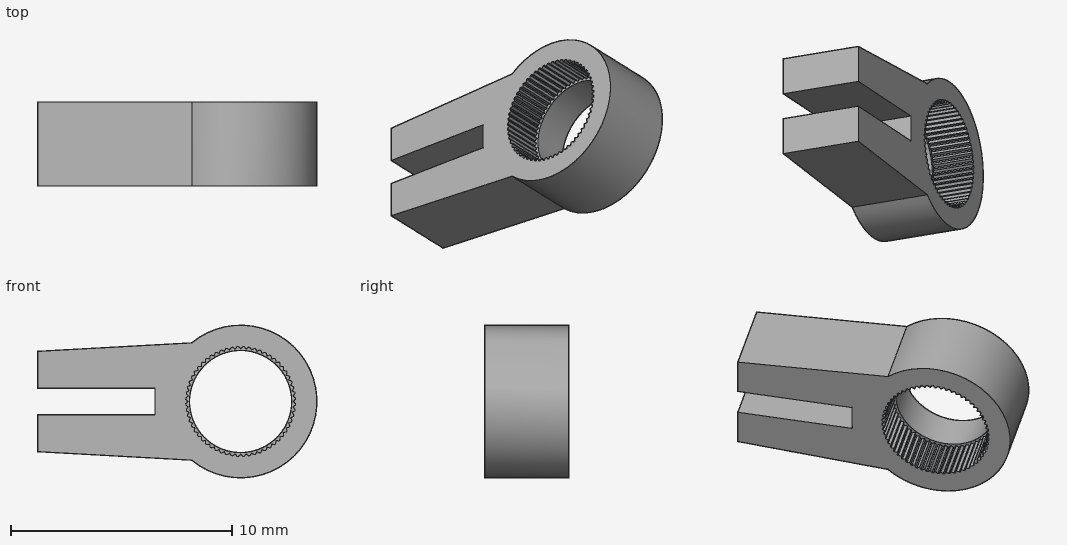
import cadquery as cq
import math

length = 12.61
thickness = 3.8
ring_diameter = 6.9
ring_radius = ring_diameter / 2
arm_end_x = ring_radius - length

arm_end_height = 4.54
arm_root_height = 5.55

slot_length = 5.3
slot_height = 1.19

bore_diameter = 4.6
tooth_count = 60
groove_diameter = 4.95
crest_diameter = 4.75
groove_floor_width = 0.06
socket_depth = 2.0

front_y = -thickness / 2


def front_plane():
    """XZ sketch plane on the front face; extruding by a negative length runs toward +Y."""
    return cq.Workplane("XZ", origin=(0, front_y, 0))


def ring_point(radius, angle):
    """XZ point at a radius and an angle (radians) about the ring axis."""
    return (radius * math.cos(angle), radius * math.sin(angle))


def make_body():
    ring = front_plane().circle(ring_radius).extrude(-thickness)
    arm_outline = [
        (arm_end_x, -arm_end_height / 2),
        (0, -arm_root_height / 2),
        (0, arm_root_height / 2),
        (arm_end_x, arm_end_height / 2),
    ]
    arm = front_plane().polyline(arm_outline).close().extrude(-thickness)
    return ring.union(arm)


def make_slot():
    return (
        front_plane()
        .center(arm_end_x + slot_length / 2, 0)
        .rect(slot_length, slot_height)
        .extrude(-thickness)
    )


def make_bore():
    return front_plane().circle(bore_diameter / 2).extrude(-thickness)


def make_toothed_socket():
    """Each pitch is a sharp tooth crest followed by a narrow flat groove floor."""
    pitch = 2 * math.pi / tooth_count
    half_floor_angle = groove_floor_width / groove_diameter
    outline = []
    for tooth in range(tooth_count):
        crest_angle = tooth * pitch
        groove_angle = crest_angle + pitch / 2
        outline.append(ring_point(crest_diameter / 2, crest_angle))
        outline.append(ring_point(groove_diameter / 2, groove_angle - half_floor_angle))
        outline.append(ring_point(groove_diameter / 2, groove_angle + half_floor_angle))
    return front_plane().polyline(outline).close().extrude(-socket_depth)


result = make_body().cut(make_slot()).cut(make_bore()).cut(make_toothed_socket())